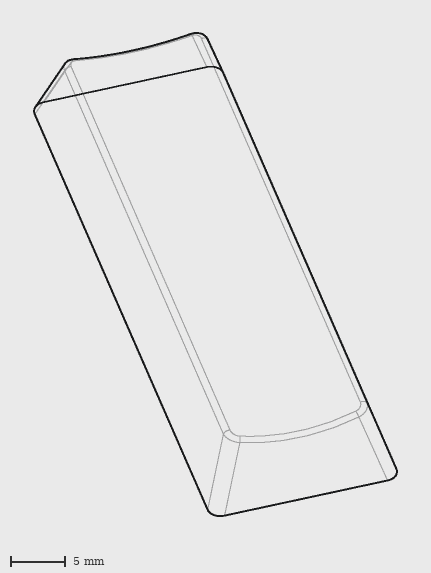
import cadquery as cq

length = 56.1
width = 18.0
wall_taper = 17.2

dish_radius = 21.05
dish_bottom = 6.4

dish_allowance = 1.7
raw_height = dish_bottom + dish_allowance

corner_radius = 1.3
rim_radius = 0.5


def tapered_block():
    """Solid block with sloping walls and rounded corners, its base on Z = 0."""
    block = cq.Workplane("XY").rect(length, width).extrude(raw_height, taper=wall_taper)
    slanted_corners = block.edges("not(#Z or |X or |Y)")
    return slanted_corners.fillet(corner_radius)


def dish_cutter():
    """Cylinder along X that hollows out the top."""
    axis_height = dish_bottom + dish_radius
    end_plane = cq.Workplane("YZ").center(0, axis_height)
    return end_plane.circle(dish_radius).extrude(length / 2, both=True)


def round_rim(body):
    """Round every edge of the dish face, where it meets the walls and corners."""
    dish_center = (0, 0, dish_bottom)
    dish_face = body.faces(cq.selectors.NearestToPointSelector(dish_center))
    return dish_face.edges().fillet(rim_radius)


result = round_rim(tapered_block().cut(dish_cutter()))